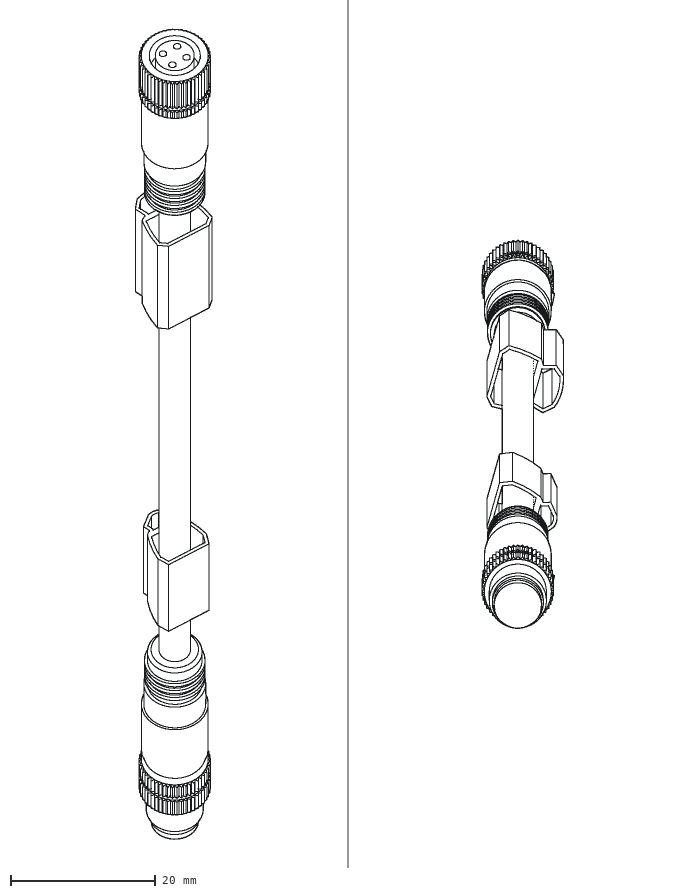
import cadquery as cq
import math

total_length = 168.7
overall_width = 11.3
cable_diameter = 4.4

nut_diameter = 10.0
nut_root_diameter = 9.3
nut_tooth_count = 48
nut_chamfer = 0.3
nut_groove_diameter = 9.1
nut_groove_width = 0.8
socket_nut_length = 8.1
socket_nut_groove_height = 2.0
plug_nut_bottom = 7.1
plug_nut_length = 6.5
plug_nut_groove_height = 3.5

body_diameter = 9.3
body_end_diameter = 8.6
body_taper_length = 1.2
body_length = 11.1
shoulder_diameter = 8.6
relief_diameter = 7.6
relief_chamfer = 0.5
rib_diameter = 8.5
rib_thickness = 0.7
rib_pitch = 1.5
first_rib_offset = 1.7
socket_body_end = total_length - socket_nut_length
socket_shoulder_length = 4.2
socket_relief_end = 137.7
socket_rib_count = 4
plug_body_end = 14.7
plug_shoulder_length = 4.5
plug_relief_end = 37.8
plug_rib_count = 3

arrow_reach = nut_diameter / 2
arrow_stem_width = 0.5
arrow_head_width = 2.4
arrow_length = 2.9

socket_bore_diameter = 7.1
insert_diameter = 5.4
socket_depth = 3.4
contact_hole_diameter = 1.0
contact_spacing = 2.4

plug_neck_diameter = 6.0
plug_barrel_diameter = 8.0
plug_barrel_bottom = 2.5
plug_nose_diameter = 7.1
plug_nose_bottom = 1.3
plug_tip_diameter = 6.5

upper_sleeve_bottom = 114.4
upper_sleeve_length = 18.2
lower_sleeve_bottom = 47.7
lower_sleeve_length = 14.7
sleeve_wall = 0.5
flank_bulge = 0.2
web_x = -2.4
web_thickness = 0.8


def cylinder(diameter, z_low, z_high):
    return cq.Workplane("XY").workplane(offset=z_low).circle(diameter / 2).extrude(z_high - z_low)


def ring(outer_diameter, inner_diameter, z_low, z_high):
    return cylinder(outer_diameter, z_low, z_high).cut(cylinder(inner_diameter, z_low, z_high))


def knurled_nut(z_low, length, groove_height):
    """Cylinder of pointed teeth with chamfered ends and one plain groove."""
    z_high = z_low + length
    points = []
    for i in range(2 * nut_tooth_count):
        radius = (nut_diameter if i % 2 == 0 else nut_root_diameter) / 2
        angle = math.pi * i / nut_tooth_count
        points.append((radius * math.cos(angle), radius * math.sin(angle)))
    nut = cq.Workplane("XY").workplane(offset=z_low).polyline(points).close().extrude(length)
    nut = nut.intersect(cylinder(nut_diameter, z_low, z_high).edges("%CIRCLE").chamfer(nut_chamfer))
    groove_low = z_low + groove_height - nut_groove_width / 2
    return nut.cut(ring(2 * nut_diameter, nut_groove_diameter, groove_low, groove_low + nut_groove_width))


def arrow(z_start, way):
    """Flat arrow pointing away from the coupling nut, out to the -X side."""
    z_head = z_start + way * body_taper_length
    half_stem = arrow_stem_width / 2
    half_head = arrow_head_width / 2
    outline = [
        (-half_stem, z_start),
        (half_stem, z_start),
        (half_stem, z_head),
        (half_head, z_head),
        (0, z_start + way * arrow_length),
        (-half_head, z_head),
        (-half_stem, z_head),
    ]
    return cq.Workplane("YZ").polyline(outline).close().extrude(-arrow_reach)


def grip(z_start, z_end, shoulder_length, rib_count):
    """Grip turned about Z, from the coupling end of its body to the end of its strain relief."""
    way = 1 if z_end > z_start else -1
    z_shoulder = z_start + way * body_length
    z_relief = z_shoulder + way * shoulder_length
    profile = [
        (0, z_start),
        (body_end_diameter / 2, z_start),
        (body_diameter / 2, z_start + way * body_taper_length),
        (body_diameter / 2, z_shoulder),
        (shoulder_diameter / 2, z_shoulder),
        (shoulder_diameter / 2, z_relief),
        (relief_diameter / 2, z_relief),
        (relief_diameter / 2, z_end - way * relief_chamfer),
        (relief_diameter / 2 - relief_chamfer, z_end),
        (0, z_end),
    ]
    body = cq.Workplane("XZ").polyline(profile).close().revolve(360, (0, 0, 0), (0, 1, 0))
    for i in range(rib_count):
        z_rib = z_relief + way * (first_rib_offset + rib_pitch * i)
        body = body.union(cylinder(rib_diameter, z_rib - rib_thickness / 2, z_rib + rib_thickness / 2))
    return body.union(arrow(z_start, way))


def socket_connector():
    nut = knurled_nut(socket_body_end, socket_nut_length, socket_nut_groove_height)
    z_floor = total_length - socket_depth
    nut = nut.cut(ring(socket_bore_diameter, insert_diameter, z_floor, total_length))
    contact_holes = (
        cq.Workplane("XY").workplane(offset=z_floor)
        .rect(contact_spacing, contact_spacing, forConstruction=True)
        .vertices()
        .circle(contact_hole_diameter / 2)
        .extrude(socket_depth)
    )
    handle = grip(socket_body_end, socket_relief_end, socket_shoulder_length, socket_rib_count)
    return handle.union(nut.cut(contact_holes))


def plug_connector():
    handle = grip(plug_body_end, plug_relief_end, plug_shoulder_length, plug_rib_count)
    nut = knurled_nut(plug_nut_bottom, plug_nut_length, plug_nut_groove_height)
    neck = cylinder(plug_neck_diameter, plug_nut_bottom + plug_nut_length, plug_body_end)
    barrel = cylinder(plug_barrel_diameter, plug_barrel_bottom, plug_nut_bottom)
    nose = cylinder(plug_nose_diameter, plug_nose_bottom, plug_barrel_bottom)
    tip = cylinder(plug_tip_diameter, 0, plug_nose_bottom)
    return handle.union(neck).union(nut).union(barrel).union(nose).union(tip)


def mirrored(point):
    return (point[0], -point[1])


def marker_sleeve(z_low, length, tip_x, tip, cheek, neck, flank_start, flank_end, back):
    """Thin open-ended sleeve with a rounded head on the -X side.

    The points from tip to back run along the +Y half of its outline.
    A web across the neck holds the sleeve on the cable.
    """
    flank_middle = (
        (flank_start[0] + flank_end[0]) / 2,
        (flank_start[1] + flank_end[1]) / 2 + flank_bulge,
    )
    outline = (
        cq.Workplane("XY").workplane(offset=z_low)
        .moveTo(*mirrored(tip))
        .threePointArc((tip_x, 0), tip)
        .lineTo(*cheek)
        .lineTo(*neck)
        .lineTo(*flank_start)
        .threePointArc(flank_middle, flank_end)
        .lineTo(*back)
        .lineTo(*mirrored(back))
        .lineTo(*mirrored(flank_end))
        .threePointArc(mirrored(flank_middle), mirrored(flank_start))
        .lineTo(*mirrored(neck))
        .lineTo(*mirrored(cheek))
        .close()
    )
    hollow = outline.offset2D(-sleeve_wall).extrude(length)
    solid_sleeve = outline.toPending().extrude(length)
    web = (
        cq.Workplane("XY").workplane(offset=z_low)
        .center(web_x, 0)
        .rect(web_thickness, 2 * flank_end[1])
        .extrude(length)
    )
    return solid_sleeve.cut(hollow.cut(web))


upper_sleeve = marker_sleeve(
    upper_sleeve_bottom,
    upper_sleeve_length,
    tip_x=nut_diameter / 2 - overall_width,
    tip=(-5.9, 2.4),
    cheek=(-4.5, 3.5),
    neck=(-2.9, 3.0),
    flank_start=(-2.4, 3.9),
    flank_end=(2.5, 4.5),
    back=(3.5, 3.4),
)
lower_sleeve = marker_sleeve(
    lower_sleeve_bottom,
    lower_sleeve_length,
    tip_x=-5.5,
    tip=(-5.4, 0.8),
    cheek=(-4.0, 2.5),
    neck=(-3.0, 2.2),
    flank_start=(-2.5, 2.9),
    flank_end=(1.9, 4.0),
    back=(3.5, 3.4),
)

cable = cylinder(cable_diameter, plug_relief_end, socket_relief_end)
result = cable.union(upper_sleeve).union(lower_sleeve).union(socket_connector()).union(plug_connector())